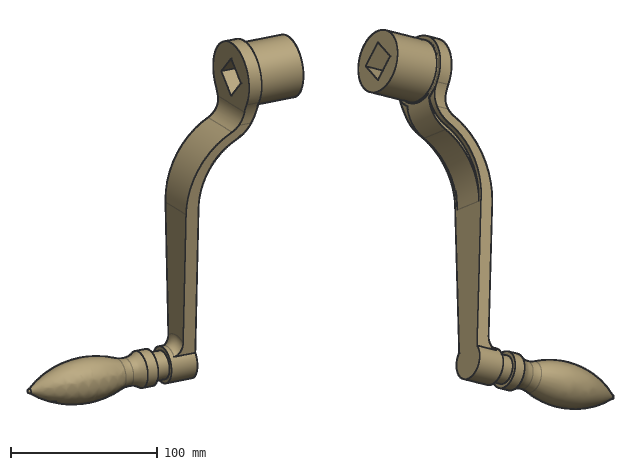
import cadquery as cq
import math

flange_radius = 25.0
plate_thickness = 9.9
hub_radius = 22.0
hub_length = 34.7
hub_root_fillet = 0.7
square_hole_diagonal = 27.2

crank_length = 200
arm_offset = 43.5
bend_start_z = -19.5
inner_bend_radius = 15.0
outer_bend_radius = 60.0
arm_half_width_top = 16.9
arm_half_width_bottom = 9.6
taper_start_z = -29.0
back_rib_width = 24
back_edge_lift = 3.1
flare_start_z = -12.0
flare_middle_z = -19.5
flare_middle_half_width = 18.5

boss_radius = 13.0
boss_length = 20.5
boss_fillet_radius = 7.0

neck_radius = 10.0
neck_length = 10.4
collar_radius = 13.0
collar_length = 8.2
throat_radius = 9.9
throat_start_length = 9.6
swell_radius = 10.8
swell_start_length = 6.5
grip_radius = 16.0
grip_widest_distance = 26.5
tip_radius = 1.7
grip_length = 69.5

overlap = 1.2
arm_front_y = -arm_offset - plate_thickness


def cylinder_y(radius, y_start, y_end, z=0):
    """Cylinder along Y between two Y positions."""
    plane = cq.Workplane("XZ", origin=(0, y_start, z))
    return plane.circle(radius).extrude(y_start - y_end)


def front_outline():
    """Round head blending through a concave flare into the tapered arm, as a prism along Y."""
    flare_start_x = math.sqrt(flange_radius**2 - flare_start_z**2)
    return (
        cq.Workplane("XZ")
        .moveTo(-arm_half_width_bottom, -crank_length)
        .lineTo(-arm_half_width_top, taper_start_z)
        .threePointArc((-flare_middle_half_width, flare_middle_z), (-flare_start_x, flare_start_z))
        .threePointArc((0, flange_radius), (flare_start_x, flare_start_z))
        .threePointArc((flare_middle_half_width, flare_middle_z), (arm_half_width_top, taper_start_z))
        .lineTo(arm_half_width_bottom, -crank_length)
        .close()
        .extrude(arm_offset + boss_length)
    )


def bent_strip():
    """Side profile of constant thickness: two tangent arcs carry the plate forward by the offset."""
    radius_sum = inner_bend_radius + outer_bend_radius
    bend_angle = math.acos(1 - arm_offset / radius_sum)
    bend_end_z = bend_start_z - radius_sum * math.sin(bend_angle)
    upper_center_y = -plate_thickness - inner_bend_radius
    lower_center_y = arm_front_y + outer_bend_radius

    def upper_point(radius, angle):
        return (upper_center_y + radius * math.cos(angle), bend_start_z - radius * math.sin(angle))

    def lower_point(radius, angle):
        return (lower_center_y - radius * math.cos(angle), bend_end_z + radius * math.sin(angle))

    upper_back_radius = inner_bend_radius + plate_thickness
    lower_back_radius = outer_bend_radius - plate_thickness
    half_angle = bend_angle / 2
    return (
        cq.Workplane("YZ")
        .moveTo(-plate_thickness, flange_radius)
        .lineTo(-plate_thickness, bend_start_z)
        .threePointArc(upper_point(inner_bend_radius, half_angle), upper_point(inner_bend_radius, bend_angle))
        .threePointArc(lower_point(outer_bend_radius, half_angle), (arm_front_y, bend_end_z))
        .lineTo(arm_front_y, -crank_length)
        .lineTo(-arm_offset, -crank_length)
        .lineTo(-arm_offset, bend_end_z)
        .threePointArc(lower_point(lower_back_radius, half_angle), lower_point(lower_back_radius, bend_angle))
        .threePointArc(upper_point(upper_back_radius, half_angle), (0, bend_start_z))
        .lineTo(0, flange_radius)
        .close()
        .extrude(flange_radius, both=True)
    )


def cranked_arm(outline):
    """Tapered bent plate, thinned along its rear edges in the bend so that a low rib stays in the middle."""
    strip = bent_strip()
    thin_strip = strip.intersect(strip.translate((0, 0, back_edge_lift)))
    head = cq.Workplane("XZ").circle(flange_radius).extrude(plate_thickness)
    rib_zone = cq.Workplane("XY").box(back_rib_width, 2 * arm_offset + 2 * plate_thickness, 2 * crank_length)
    rib = strip.intersect(rib_zone)
    return thin_strip.union(rib).intersect(outline).union(head.intersect(strip))


def revolve_about_handle_axis(profile):
    """Turn an XY profile, drawn at handle height, about the handle axis."""
    return profile.close().revolve(360, (0, 0, 0), (0, 1, 0))


def boss_flare():
    """Concave ring round the boss on the front face of the arm."""
    arc_offset = boss_fillet_radius * (1 - math.sqrt(0.5))
    profile = (
        cq.Workplane("XY", origin=(0, 0, -crank_length))
        .moveTo(0, arm_front_y + overlap)
        .lineTo(boss_radius + boss_fillet_radius, arm_front_y + overlap)
        .lineTo(boss_radius + boss_fillet_radius, arm_front_y)
        .threePointArc(
            (boss_radius + arc_offset, arm_front_y - arc_offset),
            (boss_radius, arm_front_y - boss_fillet_radius),
        )
        .lineTo(0, arm_front_y - boss_fillet_radius)
    )
    return revolve_about_handle_axis(profile)


def handle():
    """Turned neck, collar, throat and pointed grip with a domed tip."""
    neck_start = -arm_offset - boss_length
    neck_end = neck_start - neck_length
    collar_end = neck_end - collar_length
    throat_start = collar_end - throat_start_length
    swell_start = throat_start - swell_start_length
    grip_widest = swell_start - grip_widest_distance
    tip_start = swell_start - grip_length
    throat_drop = collar_radius - throat_radius
    throat_arc_radius = (throat_start_length**2 + throat_drop**2) / (2 * throat_drop)
    profile = (
        cq.Workplane("XY", origin=(0, 0, -crank_length))
        .moveTo(0, neck_start + overlap)
        .lineTo(neck_radius, neck_start + overlap)
        .lineTo(neck_radius, neck_end)
        .lineTo(collar_radius, neck_end)
        .lineTo(collar_radius, collar_end)
        .radiusArc((throat_radius, throat_start), -throat_arc_radius)
        .tangentArcPoint((swell_radius, swell_start), relative=False)
        .threePointArc((grip_radius, grip_widest), (tip_radius, tip_start))
        .radiusArc((0, tip_start - tip_radius), tip_radius)
    )
    return revolve_about_handle_axis(profile)


outline = front_outline()
arm = cranked_arm(outline)
hub = cylinder_y(hub_radius, hub_length, -overlap)
hub_root = (
    cq.Workplane("XY")
    .lineTo(hub_radius + hub_root_fillet, 0)
    .radiusArc((hub_radius, hub_root_fillet), hub_root_fillet)
    .lineTo(0, hub_root_fillet)
    .close()
    .revolve(360, (0, 0, 0), (0, 1, 0))
)
boss = cylinder_y(boss_radius, -arm_offset, -arm_offset - boss_length, -crank_length)
square_hole = (
    cq.Workplane("XZ", origin=(0, hub_length, 0))
    .polygon(4, square_hole_diagonal)
    .extrude(hub_length + plate_thickness)
)

result = (
    arm.union(hub)
    .union(hub_root)
    .union(boss)
    .union(boss_flare().intersect(outline))
    .union(handle())
    .cut(square_hole)
)